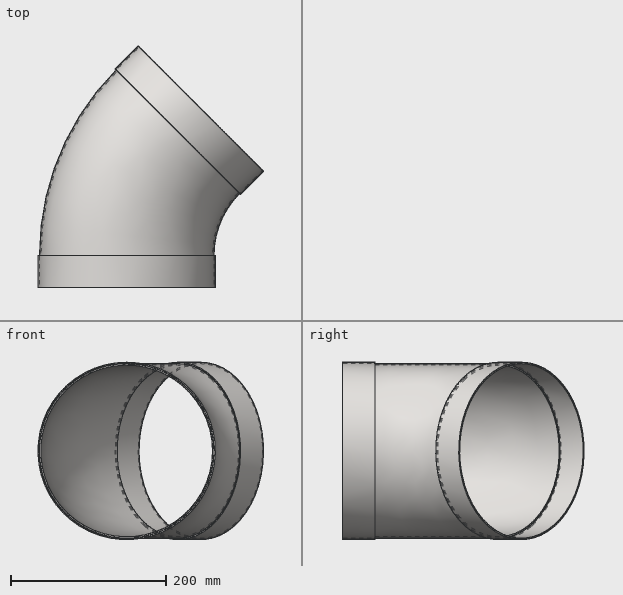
import cadquery as cq
import math

bend_angle = 45.0
bend_radius = 225.0
overall_length = 311.3
collar_outer_diameter = 228.5
collar_inner_diameter = 224.7
bend_outer_diameter = 225.0
bend_inner_diameter = 221.0

angle = math.radians(bend_angle)
bend_and_rim_length = (bend_radius + collar_outer_diameter / 2) * math.sin(angle)
collar_length = (overall_length - bend_and_rim_length) / (1 + math.cos(angle))

bend_end = (bend_radius * (1 - math.cos(angle)), bend_radius * math.sin(angle), 0)
outlet_direction = (math.sin(angle), math.cos(angle), 0)


def collar(start, direction):
    """Straight ring running from one end of the bend outwards."""
    plane = cq.Plane(origin=start, xDir=(0, 0, 1), normal=direction)
    return (
        cq.Workplane(plane)
        .circle(collar_outer_diameter / 2)
        .circle(collar_inner_diameter / 2)
        .extrude(collar_length)
    )


def bend():
    """Thin pipe wall revolved about a Z axis on the +X side."""
    return (
        cq.Workplane("XZ")
        .circle(bend_outer_diameter / 2)
        .circle(bend_inner_diameter / 2)
        .revolve(bend_angle, (bend_radius, 3, 0), (bend_radius, 0, 0))
    )


inlet_collar = collar((0, 0, 0), (0, -1, 0))
outlet_collar = collar(bend_end, outlet_direction)

result = bend().union(inlet_collar).union(outlet_collar)